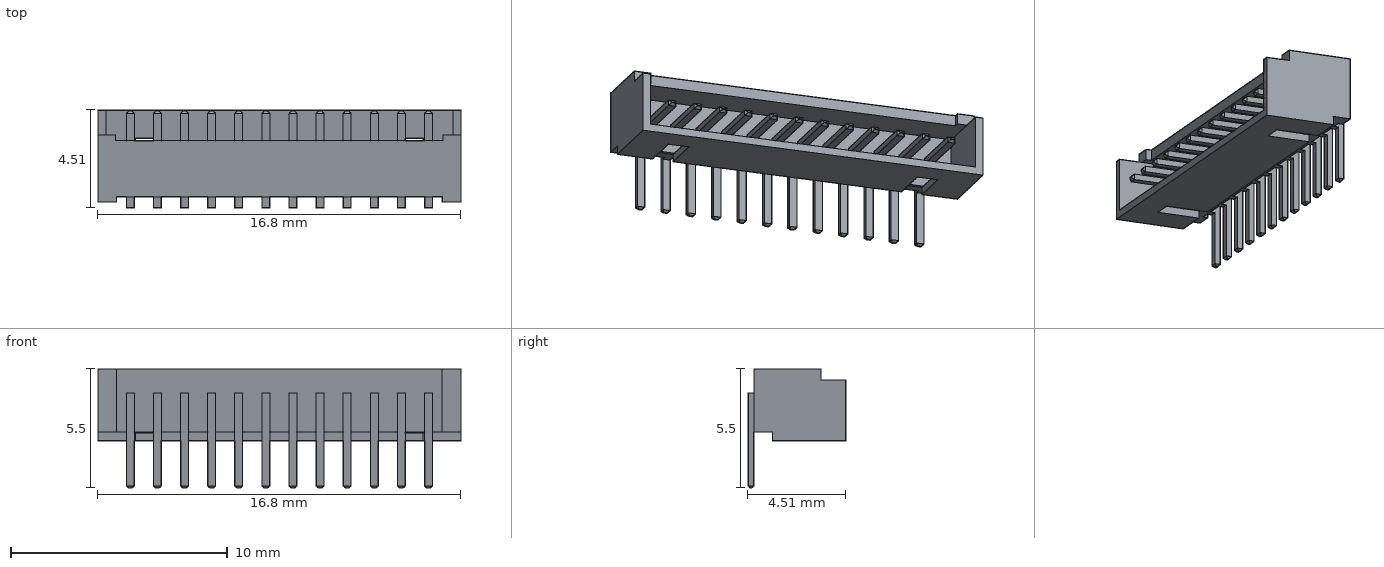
import cadquery as cq


length = 16.75
depth = 4.24
height = 3.32
end_wall = 0.37
floor_thickness = 0.35
roof_thickness = 0.5
back_wall_thickness = 0.8

pad_width = 0.87
recess_depth = 0.23

step_depth = 0.85
step_height = 0.4

tab_setback = 1.14
roof_setback = 1.4
tab_width = 0.82

slot_width = 1.0
slot_end_distance = 1.75
slot_mouth_distance = 1.3

pin_count = 12
pin_row_span = 13.75
pin_pitch = pin_row_span / (pin_count - 1)
pin_width = 0.37
pin_thickness = 0.27
leg_length = 4.39
leg_top_z = 2.21
leg_bottom_z = leg_top_z - leg_length
leg_tip_chamfer = 0.1
contact_tip_chamfer = 0.12
contact_tip_inset = 0.03


def block(x_range, y_range, z_range):
    """Box spanning the given (low, high) limits along each axis."""
    spans = (x_range, y_range, z_range)
    sizes = [high - low for low, high in spans]
    corner = tuple(low for low, high in spans)
    return cq.Workplane("XY").box(*sizes, centered=False).translate(corner)


def across(width):
    """Limits of a width centred on X = 0."""
    return (-width / 2, width / 2)


def make_housing():
    roof_underside_z = height - roof_thickness
    cavity_y = recess_depth + back_wall_thickness
    full_height = (0, height)

    housing = block(across(length), (0, depth), full_height)
    front_recess = block(across(length - 2 * pad_width), (0, recess_depth), full_height)
    bottom_step = block(across(length), (0, step_depth), (0, step_height))
    cavity = block(
        across(length - 2 * end_wall),
        (cavity_y, depth),
        (floor_thickness, roof_underside_z),
    )
    tab_cut = block(across(length), (depth - tab_setback, depth), (roof_underside_z, height))
    roof_cut = block(
        across(length - 2 * tab_width),
        (depth - roof_setback, depth),
        (roof_underside_z, height),
    )
    for cut in (front_recess, bottom_step, cavity, tab_cut, roof_cut):
        housing = housing.cut(cut)

    slot_start_x = -length / 2 + slot_end_distance
    slot = block(
        (slot_start_x, slot_start_x + slot_width),
        (step_depth, depth - slot_mouth_distance),
        (0, floor_thickness),
    )
    return housing.cut(slot).cut(slot.mirror("YZ"))


def make_pin():
    """L-shaped pin centred on X = 0, joined to the back wall by a web above the step."""
    width = across(pin_width)
    leg = block(width, (-pin_thickness, 0), (leg_bottom_z, leg_top_z))
    leg = leg.faces("<Z").chamfer(leg_tip_chamfer)
    contact_bottom_z = (floor_thickness + height - roof_thickness - pin_thickness) / 2
    contact_top_z = contact_bottom_z + pin_thickness
    contact = block(width, (0, depth - contact_tip_inset), (contact_bottom_z, contact_top_z))
    contact = contact.faces(">Y").chamfer(contact_tip_chamfer)
    web = block(width, (-pin_thickness, recess_depth), (step_height, leg_top_z))
    return leg.union(contact).union(web)


result = make_housing()
pin = make_pin()
first_pin_x = -pin_row_span / 2
for index in range(pin_count):
    result = result.union(pin.translate((first_pin_x + index * pin_pitch, 0, 0)))